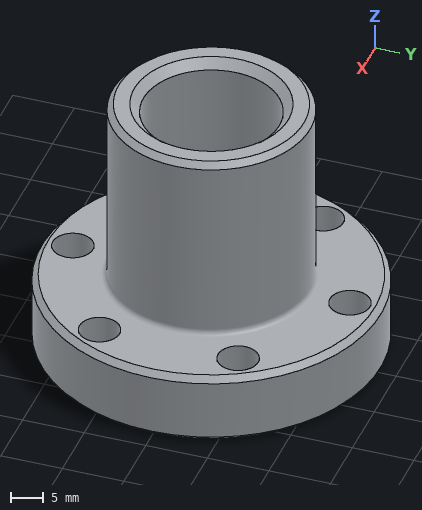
import cadquery as cq

flange_diameter = 55.0
total_height = 44.0
flange_thickness = 12.0
barrel_diameter = 32.0

bore_diameter = 22.0
bore_chamfer = 1.5

edge_chamfer = 1.0
root_fillet = 1.0

hole_count = 6
hole_diameter = 6.5
hole_circle_diameter = 45.0
first_hole_angle = 90.0


def make_flange():
    """Disc with both rims chamfered, resting on Z = 0."""
    disc = cq.Workplane("XY").circle(flange_diameter / 2).extrude(flange_thickness)
    return disc.faces("<Z or >Z").edges().chamfer(edge_chamfer)


def make_barrel():
    """Cylinder from the base to full height, chamfered at its top rim."""
    cylinder = cq.Workplane("XY").circle(barrel_diameter / 2).extrude(total_height)
    return cylinder.faces(">Z").edges().chamfer(edge_chamfer)


def fillet_barrel_root(body):
    """Round the inside corner where the barrel meets the flange."""
    reach = barrel_diameter / 2 + root_fillet
    corner = cq.selectors.BoxSelector(
        (-reach, -reach, flange_thickness - root_fillet / 2),
        (reach, reach, flange_thickness + root_fillet / 2),
        boundingbox=True,
    )
    return body.edges(corner).fillet(root_fillet)


def make_bore():
    """Through bore with a conical lead-in at the top."""
    bore = cq.Workplane("XY").circle(bore_diameter / 2).extrude(total_height)
    lead_in = cq.Solid.makeCone(
        bore_diameter / 2,
        bore_diameter / 2 + bore_chamfer,
        bore_chamfer,
        pnt=cq.Vector(0, 0, total_height - bore_chamfer),
    )
    return bore.union(cq.Workplane(lead_in))


def make_mounting_holes():
    """Ring of equally spaced through holes for the flange."""
    return (
        cq.Workplane("XY")
        .polarArray(hole_circle_diameter / 2, first_hole_angle, 360, hole_count)
        .circle(hole_diameter / 2)
        .extrude(flange_thickness)
    )


body = fillet_barrel_root(make_flange().union(make_barrel()))
result = body.cut(make_bore()).cut(make_mounting_holes())